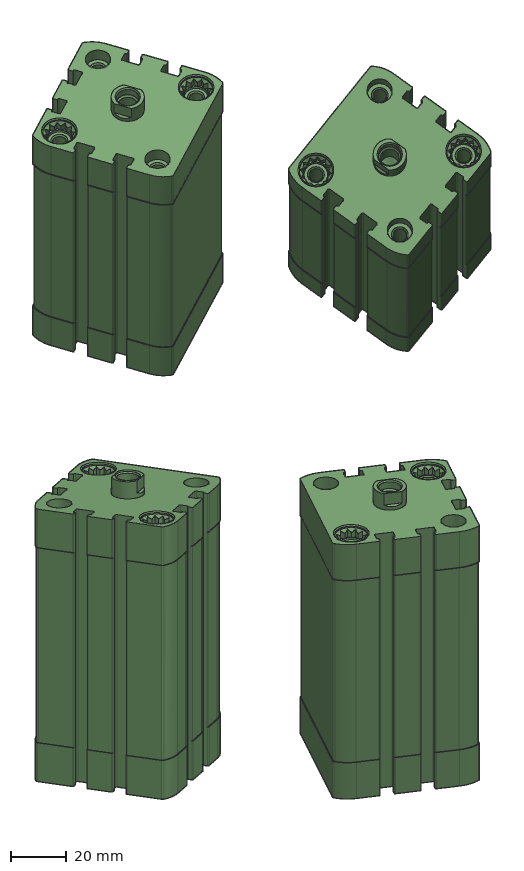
import cadquery as cq
import math

TOTAL_HEIGHT = 111.7
WIDTH = 54.5
HALF_WIDTH = WIDTH / 2

ROD_PROJECTION = 6.6
HOUSING_HEIGHT = TOTAL_HEIGHT - ROD_PROJECTION
CAP_HEIGHT = 15.0
BARREL_INSET = 0.3

CORNER_RADIUS = 13.9
CORNER_CENTRE_X = 19.1
CORNER_CENTRE_Y = HALF_WIDTH - CORNER_RADIUS
CORNER_BLEND = 1.0

SLOT_OFFSET = 7.6
SLOT_NECK_WIDTH = 5.2
SLOT_MOUTH_RADIUS = 0.3
SLOT_NECK_DEPTH = 2.0
SLOT_WIDTH = 6.9
SLOT_DEPTH = 5.5
SLOT_CORNER_RADIUS = 0.5

HOLE_OFFSET = 19.0
HOLE_DIAMETER = 4.9
HOLE_MOUTH_DIAMETER = 6.0
RECESS_DEPTH = 5.0
COUNTERBORE_DIAMETER = 9.0

SOCKET_RIM_DIAMETER = 12.8
SOCKET_BORE_DIAMETER = 12.0
SOCKET_WALL_DEPTH = 1.0
SOCKET_CONE_DROP = 1.3
SOCKET_TEETH = 12
TOOTH_TIP_DIAMETER = 9.2
TOOTH_ROOT_DIAMETER = 11.2
SOCKET_TEETH_END = 4.5
SOCKET_FLOOR_DIAMETER = 8.5

ROD_DIAMETER = 12.0
ROD_LENGTH = ROD_PROJECTION + CAP_HEIGHT
ROD_BOTTOM = TOTAL_HEIGHT - ROD_LENGTH
FLAT_DISTANCE = 9.9
FLAT_HEIGHT = 4.7
FLAT_LEDGE_DROP = 0.6
ROD_BORE_DIAMETER = 8.0
ROD_BORE_MOUTH_DIAMETER = 9.0
ROD_BORE_DEPTH = 3.2
ROD_DRILL_DIAMETER = 6.7
ROD_DRILL_DEPTH = 12.0
DRILL_POINT_ANGLE = 118.0


def revolved(profile):
    """Solid of revolution about Z from (radius, height) points."""
    return cq.Workplane("XZ").polyline(profile).close().revolve(360, (0, 0, 0), (0, 1, 0))


def block(inset, bottom, height):
    """Prism with the rounded square outline, drawn in from every side by inset."""
    radius = CORNER_RADIUS - inset
    side_x = HALF_WIDTH - inset
    side_y = HALF_WIDTH - inset
    end_angle = math.acos((side_x - CORNER_CENTRE_X) / radius)
    mid_angle = (end_angle + math.pi / 2) / 2
    end_y = CORNER_CENTRE_Y + radius * math.sin(end_angle)
    mid_x = CORNER_CENTRE_X + radius * math.cos(mid_angle)
    mid_y = CORNER_CENTRE_Y + radius * math.sin(mid_angle)
    outline = (
        cq.Workplane("XY", origin=(0, 0, bottom))
        .moveTo(side_x, -end_y)
        .lineTo(side_x, end_y)
        .threePointArc((mid_x, mid_y), (CORNER_CENTRE_X, side_y))
        .lineTo(-CORNER_CENTRE_X, side_y)
        .threePointArc((-mid_x, mid_y), (-side_x, end_y))
        .lineTo(-side_x, -end_y)
        .threePointArc((-mid_x, -mid_y), (-CORNER_CENTRE_X, -side_y))
        .lineTo(CORNER_CENTRE_X, -side_y)
        .threePointArc((mid_x, -mid_y), (side_x, -end_y))
        .close()
    )
    return outline.extrude(height).edges("|Z and (<X or >X)").fillet(CORNER_BLEND)


def slot_pair(inset):
    """Cutter for two T-slots in a +Y side that lies inset inside the full width.

    The mouths are rounded outwards and the corners of the wide part are rounded.
    """
    side_y = HALF_WIDTH - inset
    shoulder_y = HALF_WIDTH - SLOT_NECK_DEPTH
    wide_height = SLOT_DEPTH - SLOT_NECK_DEPTH
    neck_left = SLOT_OFFSET - SLOT_NECK_WIDTH / 2
    neck_right = SLOT_OFFSET + SLOT_NECK_WIDTH / 2
    neck = (
        cq.Workplane("XY")
        .moveTo(neck_left, shoulder_y)
        .lineTo(neck_left, side_y - SLOT_MOUTH_RADIUS)
        .radiusArc((neck_left - SLOT_MOUTH_RADIUS, side_y), -SLOT_MOUTH_RADIUS)
        .lineTo(neck_right + SLOT_MOUTH_RADIUS, side_y)
        .radiusArc((neck_right, side_y - SLOT_MOUTH_RADIUS), -SLOT_MOUTH_RADIUS)
        .lineTo(neck_right, shoulder_y)
        .close()
        .extrude(HOUSING_HEIGHT)
    )
    wide = (
        cq.Workplane("XY")
        .center(SLOT_OFFSET, shoulder_y - wide_height / 2)
        .rect(SLOT_WIDTH, wide_height)
        .extrude(HOUSING_HEIGHT)
        .edges("|Z")
        .fillet(SLOT_CORNER_RADIUS)
    )
    slot = neck.union(wide)
    return slot.union(slot.mirror("YZ"))


def slotted_block(inset, bottom, height):
    """Block with a slot pair in its +Y, -Y and -X sides."""
    y_slots = slot_pair(inset)
    x_slots = y_slots.rotate((0, 0, 0), (0, 0, 1), 90)
    return block(inset, bottom, height).cut(y_slots).cut(y_slots.mirror("XZ")).cut(x_slots)


def through_hole():
    """Corner hole with a countersunk mouth at the recess floor."""
    floor_z = HOUSING_HEIGHT - RECESS_DEPTH
    hole_radius = HOLE_DIAMETER / 2
    mouth_radius = HOLE_MOUTH_DIAMETER / 2
    return revolved([
        (0, 0),
        (hole_radius, 0),
        (hole_radius, floor_z - (mouth_radius - hole_radius)),
        (mouth_radius, floor_z),
        (0, floor_z),
    ])


def counterbore():
    floor_z = HOUSING_HEIGHT - RECESS_DEPTH
    return cq.Workplane("XY", origin=(0, 0, floor_z)).circle(COUNTERBORE_DIAMETER / 2).extrude(RECESS_DEPTH)


def toothed_socket():
    """Chamfered bore with a conical step, above pointed teeth and a tapered end."""
    rim_radius = SOCKET_RIM_DIAMETER / 2
    bore_radius = SOCKET_BORE_DIAMETER / 2
    tip_radius = TOOTH_TIP_DIAMETER / 2
    root_radius = TOOTH_ROOT_DIAMETER / 2
    cone_top = HOUSING_HEIGHT - SOCKET_WALL_DEPTH
    mouth = revolved([
        (0, HOUSING_HEIGHT),
        (rim_radius, HOUSING_HEIGHT),
        (bore_radius, HOUSING_HEIGHT - (rim_radius - bore_radius)),
        (bore_radius, cone_top),
        (tip_radius, cone_top - SOCKET_CONE_DROP),
        (0, cone_top - SOCKET_CONE_DROP),
    ])
    star = []
    for i in range(2 * SOCKET_TEETH):
        angle = math.pi * i / SOCKET_TEETH
        radius = tip_radius if i % 2 else root_radius
        star.append((radius * math.cos(angle), radius * math.sin(angle)))
    teeth_end = HOUSING_HEIGHT - SOCKET_TEETH_END
    teeth_height = cone_top - teeth_end
    teeth = cq.Workplane("XY", origin=(0, 0, teeth_end)).polyline(star).close().extrude(teeth_height)
    floor_z = HOUSING_HEIGHT - RECESS_DEPTH
    taper = revolved([
        (0, teeth_end),
        (tip_radius, teeth_end),
        (SOCKET_FLOOR_DIAMETER / 2, floor_z),
        (0, floor_z),
    ])
    return mouth.union(teeth).union(taper)


def make_housing():
    barrel_height = HOUSING_HEIGHT - 2 * CAP_HEIGHT
    bottom_cap = slotted_block(0, 0, CAP_HEIGHT)
    barrel = slotted_block(BARREL_INSET, CAP_HEIGHT, barrel_height)
    top_cap = slotted_block(0, HOUSING_HEIGHT - CAP_HEIGHT, CAP_HEIGHT)
    housing = bottom_cap.union(barrel).union(top_cap)

    for side_x in (-1, 1):
        for side_y in (-1, 1):
            recess = toothed_socket() if side_x == side_y else counterbore()
            place = (side_x * HOLE_OFFSET, side_y * HOLE_OFFSET, 0)
            housing = housing.cut(recess.translate(place)).cut(through_hole().translate(place))

    rod_hole = cq.Workplane("XY", origin=(0, 0, ROD_BOTTOM)).circle(ROD_DIAMETER / 2).extrude(ROD_LENGTH)
    return housing.cut(rod_hole)


def rod_bore():
    """Chamfered bore stepping down by a 45 degree cone to a drilled hole with a pointed end."""
    mouth_radius = ROD_BORE_MOUTH_DIAMETER / 2
    bore_radius = ROD_BORE_DIAMETER / 2
    drill_radius = ROD_DRILL_DIAMETER / 2
    step_z = TOTAL_HEIGHT - ROD_BORE_DEPTH
    drill_end = TOTAL_HEIGHT - ROD_DRILL_DEPTH
    point_length = drill_radius / math.tan(math.radians(DRILL_POINT_ANGLE / 2))
    return revolved([
        (0, TOTAL_HEIGHT),
        (mouth_radius, TOTAL_HEIGHT),
        (bore_radius, TOTAL_HEIGHT - (mouth_radius - bore_radius)),
        (bore_radius, step_z),
        (drill_radius, step_z - (bore_radius - drill_radius)),
        (drill_radius, drill_end),
        (0, drill_end - point_length),
    ])


def flat_cut():
    """Cutter for the wrench flat on the +Y side of the rod, with an outward sloping ledge."""
    rod_radius = ROD_DIAMETER / 2
    flat_y = FLAT_DISTANCE / 2
    ledge_z = TOTAL_HEIGHT - FLAT_HEIGHT
    return (
        cq.Workplane("YZ")
        .moveTo(flat_y, TOTAL_HEIGHT)
        .lineTo(flat_y, ledge_z)
        .lineTo(rod_radius, ledge_z - FLAT_LEDGE_DROP)
        .lineTo(rod_radius, TOTAL_HEIGHT)
        .close()
        .extrude(rod_radius, both=True)
    )


def make_rod():
    rod = cq.Workplane("XY", origin=(0, 0, ROD_BOTTOM)).circle(ROD_DIAMETER / 2).extrude(ROD_LENGTH)
    flat = flat_cut()
    return rod.cut(flat).cut(flat.mirror("XZ")).cut(rod_bore())


housing = make_housing()
rod = make_rod()
result = cq.Compound.makeCompound([housing.val(), rod.val()])